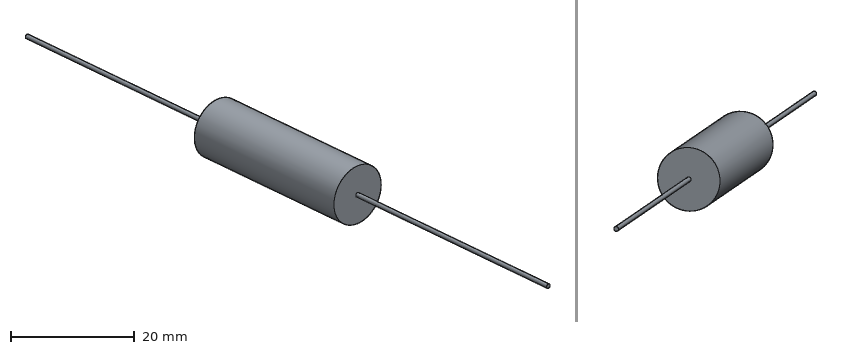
import cadquery as cq

LEAD_LENGTH = 123.0
LEAD_DIAMETER = 0.8
BODY_LENGTH = 33.0
BODY_DIAMETER = 10.5


def x_cylinder(diameter, length):
    """Cylinder along X, centred on the origin."""
    left_end = cq.Workplane("YZ", origin=(-length / 2, 0, 0))
    return left_end.circle(diameter / 2).extrude(length)


def make_lead():
    """Straight wire that runs through the body and sticks out equally at both ends."""
    return x_cylinder(LEAD_DIAMETER, LEAD_LENGTH)


def make_body():
    """Round component body with an axial bore that fits the lead."""
    bore = x_cylinder(LEAD_DIAMETER, BODY_LENGTH)
    return x_cylinder(BODY_DIAMETER, BODY_LENGTH).cut(bore)


body = make_body()
lead = make_lead()

result = cq.Compound.makeCompound([body.val(), lead.val()])